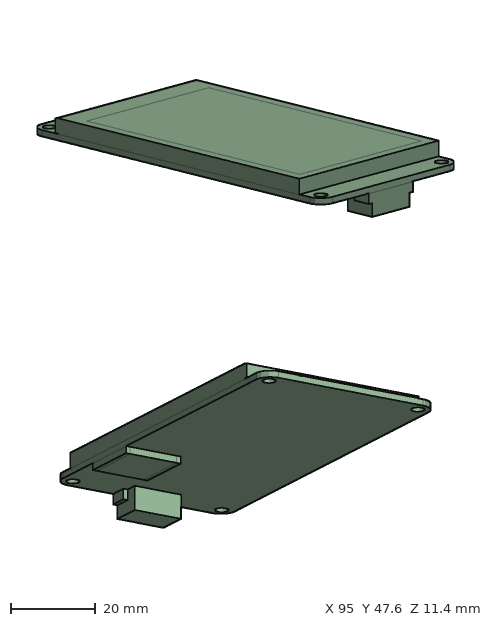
import cadquery as cq

board_length = 95.0
board_width = 47.6
board_thickness = 1.6
board_corner_radius = 3.8
hole_diameter = 3.2
hole_inset = 3.2

module_height = 3.85
module_end_gap = 7.1
module_flat_start = 8.1
tab_width = 18.5

window_start = 15.5
window_length = 69.5
window_width = 41.6
window_thickness = 1.0

socket_start = 62.6
socket_length = 15.0
socket_width = 15.1
socket_height = 1.75
insert_width = 13.0
insert_edge_offset = 0.95

connector_length = 8.0
connector_width = 12.8
connector_height = 6.0
flange_length = 4.7
flange_width = 15.1
flange_height = 2.6

board_bottom = -board_thickness
back_edge = board_width / 2


def box(x_start, length, y_center, width, z_bottom, height):
    """Axis-aligned block placed by its -X face, Y centre and bottom face."""
    base = cq.Workplane("XY", origin=(x_start, y_center, z_bottom))
    return base.box(length, width, height, centered=(False, True, False))


def make_board():
    """Rounded board with a mounting hole in each corner."""
    board = box(0, board_length, 0, board_width, board_bottom, board_thickness)
    board = board.edges("|Z").fillet(board_corner_radius)
    hole_spacing_x = board_length - 2 * hole_inset
    hole_spacing_y = board_width - 2 * hole_inset
    holes = (
        cq.Workplane("XY", origin=(board_length / 2, 0, board_bottom))
        .rect(hole_spacing_x, hole_spacing_y, forConstruction=True)
        .vertices()
        .circle(hole_diameter / 2)
        .extrude(board_thickness)
    )
    return board.cut(holes)


def make_display():
    """Display block whose -X end is fully rounded at a central tab and cut flat beside it."""
    round_radius = module_height / 2
    round_center = module_end_gap + round_radius
    module_end = board_length - module_end_gap
    profile = (
        cq.Workplane("XZ", origin=(0, board_width / 2, 0))
        .moveTo(round_center, 0)
        .lineTo(module_end, 0)
        .lineTo(module_end, module_height)
        .lineTo(round_center, module_height)
        .radiusArc((module_end_gap, round_radius), -round_radius)
        .radiusArc((round_center, 0), -round_radius)
        .close()
    )
    display = profile.extrude(board_width, clean=False)
    trim_length = module_flat_start - module_end_gap
    trim_width = (board_width - tab_width) / 2
    for side in (-1, 1):
        trim_center = side * (board_width - trim_width) / 2
        trim = box(module_end_gap, trim_length, trim_center, trim_width, 0, module_height)
        display = display.cut(trim, clean=False)
    return display


def inlay(body, panel):
    """Replace part of a body by a flush panel whose outline stays as a seam."""
    return body.cut(panel, clean=False).union(panel, clean=False)


def add_window(display):
    """Viewing window, flush with the top of the display block."""
    z_bottom = module_height - window_thickness
    window = box(window_start, window_length, 0, window_width, z_bottom, window_thickness)
    return inlay(display, window)


def make_socket():
    """Memory card socket with a full-length insert that ends flush with it."""
    z_bottom = board_bottom - socket_height
    socket_y = back_edge - socket_width / 2
    insert_y = back_edge - insert_edge_offset - insert_width / 2
    socket = box(socket_start, socket_length, socket_y, socket_width, z_bottom, socket_height)
    insert = box(socket_start, socket_length, insert_y, insert_width, z_bottom, socket_height)
    return inlay(socket, insert)


def make_connector():
    """Tall connector body with a lower, wider flange at the board edge."""
    body_start = board_length - connector_length
    flange_start = board_length - flange_length
    body_bottom = board_bottom - connector_height
    flange_bottom = board_bottom - flange_height
    body = box(body_start, connector_length, 0, connector_width, body_bottom, connector_height)
    flange = box(flange_start, flange_length, 0, flange_width, flange_bottom, flange_height)
    return body.union(flange)


result = make_board()
for piece in (add_window(make_display()), make_socket(), make_connector()):
    result = result.union(piece, clean=False)